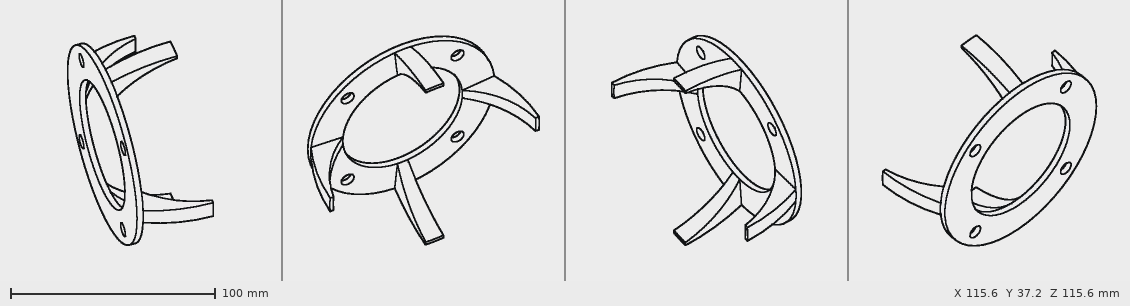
import cadquery as cq
import math

ring_radius = 50.7
bore_radius = 32.9
ring_thickness = 3.2
hole_diameter = 6.9
hole_spacing = 60.5

total_depth = 37.2
tip_radius = 57.8
tip_thickness = 2.0
arm_count = 4
arm_angle = 10.0
inner_curve_radius = 53.1

arm_height = total_depth - ring_thickness
flare = tip_radius - ring_radius
outer_curve_radius = (arm_height**2 + flare**2) / (2 * flare)


def arc_middle(start, end, radius):
    """Middle point of the minor arc bulging to the right of the start-to-end direction."""
    dx = end[0] - start[0]
    dy = end[1] - start[1]
    chord = math.hypot(dx, dy)
    sagitta = radius - math.sqrt(radius**2 - (chord / 2) ** 2)
    middle_x = (start[0] + end[0]) / 2 + sagitta * dy / chord
    middle_y = (start[1] + end[1]) / 2 - sagitta * dx / chord
    return (middle_x, middle_y)


def make_ring():
    ring = cq.Workplane("XZ").circle(ring_radius).circle(bore_radius).extrude(-ring_thickness)
    holes = (
        cq.Workplane("XZ")
        .rect(hole_spacing, hole_spacing, forConstruction=True)
        .vertices()
        .circle(hole_diameter / 2)
        .extrude(-ring_thickness)
    )
    return ring.cut(holes)


def make_arm():
    """Arm centred on +X: a claw profile revolved a few degrees about the Y axis."""
    outer_base = (ring_radius, ring_thickness)
    outer_tip = (tip_radius, total_depth)
    inner_tip = (tip_radius - tip_thickness, total_depth)
    inner_base = (bore_radius, ring_thickness)
    profile = (
        cq.Workplane("XY")
        .moveTo(*outer_base)
        .threePointArc(arc_middle(outer_base, outer_tip, outer_curve_radius), outer_tip)
        .lineTo(*inner_tip)
        .threePointArc(arc_middle(inner_base, inner_tip, inner_curve_radius), inner_base)
        .close()
    )
    arm = profile.revolve(arm_angle, (0, 0, 0), (0, 1, 0))
    return arm.rotate((0, 0, 0), (0, 1, 0), -arm_angle / 2)


result = make_ring()
arm = make_arm()
for index in range(arm_count):
    result = result.union(arm.rotate((0, 0, 0), (0, 1, 0), index * 360 / arm_count))